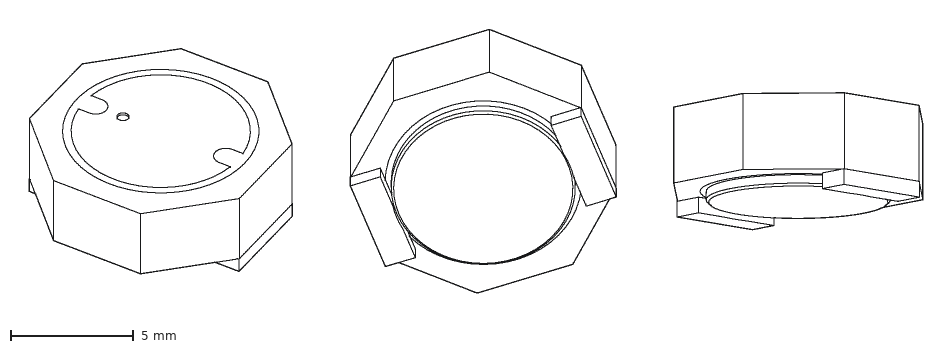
import cadquery as cq
import math

width = 10.0
side_count = 8
total_height = 3.8
standoff = 0.65
housing_height = total_height - standoff

bore_diameter = 8.0
core_diameter = 7.3
foot_diameter = 7.5
foot_clearance = 0.2
foot_chamfer = 0.1

notch_width = 1.0
notch_tip_x = 2.6

dot_diameter = 0.5
dot_x = -1.8
dot_depth = 0.1

terminal_length = 1.3
terminal_width = 4.2


def disc(diameter, bottom, top):
    """Vertical cylinder on the Z axis between two heights."""
    return cq.Workplane("XY").workplane(offset=bottom).circle(diameter / 2).extrude(top - bottom)


def make_housing():
    """Regular octagonal ring with flats facing X and Y."""
    half_side_angle = 180 / side_count
    corner_diameter = width / math.cos(math.radians(half_side_angle))
    octagon = (
        cq.Workplane("XY")
        .workplane(offset=standoff)
        .transformed(rotate=(0, 0, half_side_angle))
        .polygon(side_count, corner_diameter)
        .extrude(housing_height)
    )
    return octagon.cut(disc(bore_diameter, standoff, total_height))


def make_notch(side):
    """Round-ended slot cutter that runs in from the core rim; side is -1 or +1."""
    slot_length = 2 * (core_diameter / 2 - notch_tip_x) + notch_width
    slot_center_x = notch_tip_x + slot_length / 2
    return (
        cq.Workplane("XY")
        .workplane(offset=standoff)
        .center(side * slot_center_x, 0)
        .slot2D(slot_length, notch_width)
        .extrude(housing_height)
    )


def make_foot():
    """Wider disc under the housing, chamfered around its lower edge."""
    return disc(foot_diameter, foot_clearance, standoff).faces("<Z").edges().chamfer(foot_chamfer)


def make_core_blank():
    """Core plug with its foot and two glue notches."""
    core = disc(core_diameter, standoff, total_height).union(make_foot())
    for side in (-1, 1):
        core = core.cut(make_notch(side))
    return core


def make_core(blank):
    """Core with the shallow pin-one dot sunk into its top."""
    dot = disc(dot_diameter, total_height - dot_depth, total_height)
    return blank.cut(dot.translate((dot_x, 0, 0)))


def make_glue_ring(core_blank):
    """Glue that fills the bore around the core, including the notches."""
    return disc(bore_diameter, standoff, total_height).cut(core_blank)


def make_terminal(side):
    """Flat block under one X side of the housing, relieved where the foot reaches it."""
    block = (
        cq.Workplane("XY")
        .center(side * (width - terminal_length) / 2, 0)
        .rect(terminal_length, terminal_width)
        .extrude(standoff)
    )
    return block.cut(disc(foot_diameter, 0, standoff))


housing = make_housing()
core_blank = make_core_blank()
core = make_core(core_blank)
glue_ring = make_glue_ring(core_blank)
terminals = [make_terminal(side) for side in (-1, 1)]

result = cq.Compound.makeCompound(
    [housing.val(), core.val(), glue_ring.val()] + [terminal.val() for terminal in terminals]
)